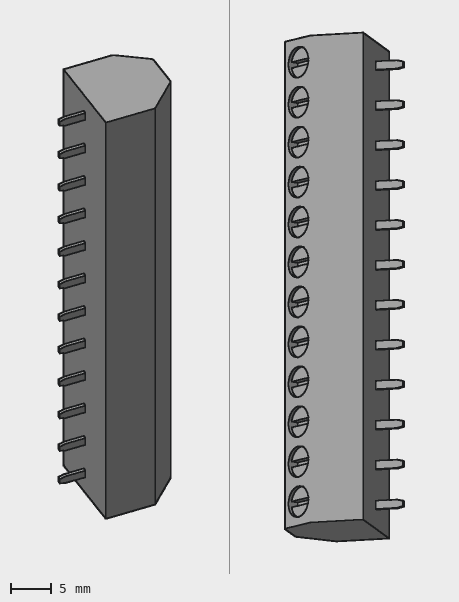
import cadquery as cq

length = 61.0
width = 12.0
total_depth = 14.3
pin_length = 3.5
body_depth = total_depth - pin_length
rear_y = body_depth / 2
front_y = -body_depth / 2
left_x = -width / 2
right_x = width / 2
left_bevel_x = 2.85
left_bevel_y = 4.1
right_bevel_x = 4.1
right_bevel_y = 4.1
bevel_rounding = 0.6

contact_count = 12
pitch = 5.0

screw_diameter = 3.85
screw_offset = 0.2
screw_recess = 0.5
slot_width = 0.75
slot_depth = 1.0

pin_thickness = 0.5
pin_height = 1.05
tip_height = 0.7
tip_length = 0.75


def make_housing():
    left_bevel_start = (left_x, rear_y - left_bevel_y)
    left_bevel_end = (left_x + left_bevel_x, rear_y)
    outline = [
        (left_x, front_y),
        (right_x, front_y),
        (right_x, rear_y - right_bevel_y),
        (right_x - right_bevel_x, rear_y),
        left_bevel_end,
        left_bevel_start,
    ]
    housing = cq.Workplane("XY").polyline(outline).close().extrude(length / 2, both=True)
    for x, y in (left_bevel_start, left_bevel_end):
        bevel_edge = cq.selectors.NearestToPointSelector((x, y, 0))
        housing = housing.edges("|Z").edges(bevel_edge).fillet(bevel_rounding)
    return housing


def make_screw_cavity(z):
    """Round recess down to the screw head, plus the slot across the head."""
    bevel_middle = (left_x + left_bevel_x / 2, rear_y - left_bevel_y / 2, z)
    bevel_face = cq.Plane(
        origin=bevel_middle,
        xDir=(left_bevel_x, left_bevel_y, 0),
        normal=(-left_bevel_y, left_bevel_x, 0),
    )
    centered = cq.Workplane(bevel_face).center(-screw_offset, 0)
    cavity_depth = screw_recess + slot_depth
    recess = centered.circle(screw_diameter / 2).extrude(-screw_recess)
    slot = centered.rect(screw_diameter, slot_width).extrude(-cavity_depth)
    bore = centered.circle(screw_diameter / 2).extrude(-cavity_depth)
    return recess.union(slot.intersect(bore))


def make_pin(z):
    tip_y = front_y - pin_length
    shoulder_y = tip_y + tip_length
    outline = [
        (front_y, z - pin_height / 2),
        (shoulder_y, z - pin_height / 2),
        (tip_y, z - tip_height / 2),
        (tip_y, z + tip_height / 2),
        (shoulder_y, z + pin_height / 2),
        (front_y, z + pin_height / 2),
    ]
    return cq.Workplane("YZ").polyline(outline).close().extrude(pin_thickness / 2, both=True)


result = make_housing()
for index in range(contact_count):
    contact_z = (index - (contact_count - 1) / 2) * pitch
    result = result.cut(make_screw_cavity(contact_z))
    result = result.union(make_pin(contact_z))